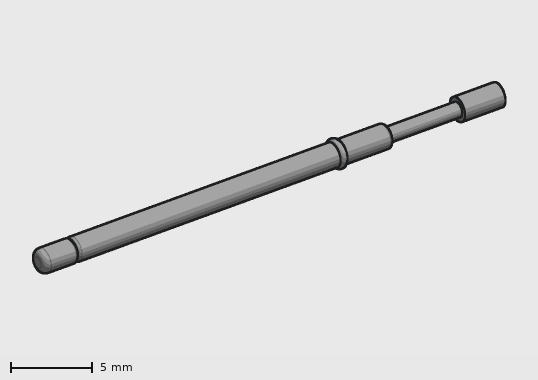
import cadquery as cq
import math

total_length = 34.3
tail_y = -total_length / 2
tip_y = total_length / 2

head_length = 3.02
head_start_y = tip_y - head_length
head_radius = 0.82
stem_radius = 0.5

barrel_radius = 0.82
barrel_length = 25.95
barrel_mouth_y = tail_y + barrel_length
mouth_round = 0.2
tail_round = 0.45

ring_radius = 1.0
ring_width = 0.55
ring_setback = 3.43
ring_y = barrel_mouth_y - ring_setback - ring_width / 2

groove_width = 0.4
groove_depth = 0.17
groove_setback = 2.55
groove_y = tail_y + groove_setback


def turned(start_y, end_y, radius):
    """Solid cylinder along Y between two stations."""
    return cq.Workplane("XZ", origin=(0, end_y, 0)).circle(radius).extrude(end_y - start_y)


def revolve_about_y(profile):
    """Sweep a closed XY profile once around the part axis."""
    return profile.revolve(360, (0, 0, 0), (0, 1, 0))


def make_barrel():
    barrel = turned(tail_y, barrel_mouth_y, barrel_radius)
    barrel = barrel.faces("<Y").edges().fillet(tail_round)
    return barrel.faces(">Y").edges().fillet(mouth_round)


def make_ring():
    """Disc whose rim is a full half-round as wide as the disc."""
    half_width = ring_width / 2
    round_start = ring_radius - half_width
    profile = (
        cq.Workplane("XY")
        .moveTo(0, ring_y - half_width)
        .lineTo(round_start, ring_y - half_width)
        .threePointArc((ring_radius, ring_y), (round_start, ring_y + half_width))
        .lineTo(0, ring_y + half_width)
        .close()
    )
    return revolve_about_y(profile)


def make_groove():
    """Ring-shaped cutter whose two rounded lips meet in a sharp bottom."""
    half_width = groove_width / 2
    root_radius = barrel_radius - groove_depth
    lip_round = (half_width**2 + groove_depth**2) / (2 * groove_depth)
    half_angle = math.asin(half_width / lip_round) / 2
    arc_radius = barrel_radius - lip_round * (1 - math.cos(half_angle))
    arc_offset = half_width - lip_round * math.sin(half_angle)
    profile = (
        cq.Workplane("XY")
        .moveTo(barrel_radius, groove_y - half_width)
        .threePointArc((arc_radius, groove_y - arc_offset), (root_radius, groove_y))
        .threePointArc((arc_radius, groove_y + arc_offset), (barrel_radius, groove_y + half_width))
        .close()
    )
    return revolve_about_y(profile)


stem = turned(barrel_mouth_y, head_start_y, stem_radius)
head = turned(head_start_y, tip_y, head_radius)

result = make_barrel().union(make_ring()).cut(make_groove()).union(stem).union(head)